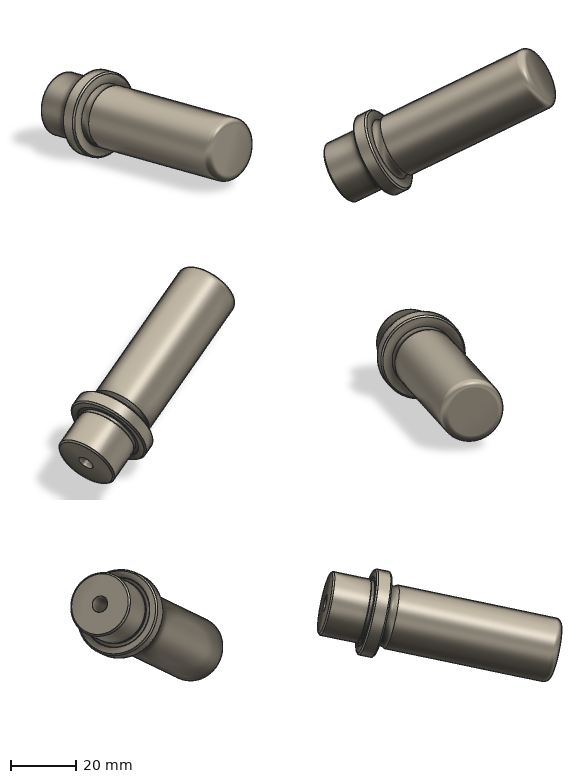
import cadquery as cq
import math

total_length = 73.0
shaft_radius = 10.0
collar_radius = 13.5
collar_start = 13.0
collar_end = 17.9
edge_chamfer = 0.5
end_rounding = 2.1

undercut_width = 1.0
undercut_depth = 0.2

neck_width = 3.1
neck_depth = 0.6

hole_radius = 2.55
hole_depth = 10.0
drill_point_angle = 118.0


def turned_body():
    """Revolve the half section of the pillar about X."""
    neck_end = collar_end + neck_width
    undercut_start = collar_start - undercut_width
    undercut_top = shaft_radius + undercut_width
    rounding_start = total_length - end_rounding
    rounding_mid = end_rounding * math.sqrt(0.5)
    profile = (
        cq.Workplane("XY")
        .moveTo(0, 0)
        .lineTo(0, shaft_radius - edge_chamfer)
        .lineTo(edge_chamfer, shaft_radius)
        .lineTo(undercut_start, shaft_radius)
        .lineTo(undercut_start + undercut_depth, shaft_radius - undercut_depth)
        .lineTo(collar_start + undercut_depth, shaft_radius - undercut_depth)
        .lineTo(collar_start + undercut_depth, undercut_top - undercut_depth)
        .lineTo(collar_start, undercut_top)
        .lineTo(collar_start, collar_radius - edge_chamfer)
        .lineTo(collar_start + edge_chamfer, collar_radius)
        .lineTo(collar_end - edge_chamfer, collar_radius)
        .lineTo(collar_end, collar_radius - edge_chamfer)
        .lineTo(collar_end, shaft_radius)
        .threePointArc(
            (collar_end + neck_width / 2, shaft_radius - neck_depth),
            (neck_end, shaft_radius),
        )
        .lineTo(rounding_start, shaft_radius)
        .threePointArc(
            (rounding_start + rounding_mid, shaft_radius - end_rounding + rounding_mid),
            (total_length, shaft_radius - end_rounding),
        )
        .lineTo(total_length, 0)
        .close()
    )
    return profile.revolve(360, (0, 0, 0), (1, 0, 0))


def drilled_hole():
    """Blind hole on the axis, ending in a drill point."""
    point_length = hole_radius / math.tan(math.radians(drill_point_angle / 2))
    return (
        cq.Workplane("XY")
        .polyline([
            (0, 0),
            (0, hole_radius),
            (hole_depth, hole_radius),
            (hole_depth + point_length, 0),
        ])
        .close()
        .revolve(360, (0, 0, 0), (1, 0, 0))
    )


result = turned_body().cut(drilled_hole())